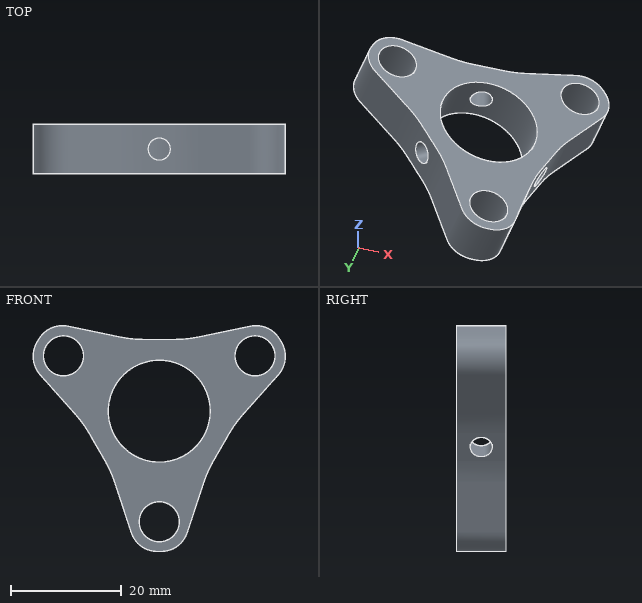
import cadquery as cq
import math

thickness = 9.0
arm_count = 3
arm_pitch = 360.0 / arm_count
first_arm_angle = 30.0

arm_reach = 25.4
arm_end_half_width = 3.95
arm_end_radius = 5.0
side_flat_distance = 13.0
side_flat_half_length = 5.0
side_blend_radius = 20.0

bore_diameter = 18.4
arm_hole_diameter = 7.2
arm_hole_distance = 20.0
radial_hole_diameter = 4.0


def turned(radial, sideways, angle):
    """Point given along and across a direction, turned into plate coordinates."""
    a = math.radians(angle)
    return (
        radial * math.cos(a) - sideways * math.sin(a),
        radial * math.sin(a) + sideways * math.cos(a),
    )


arm_angles = [first_arm_angle + i * arm_pitch for i in range(arm_count)]
flat_angles = [angle + arm_pitch / 2 for angle in arm_angles]


def make_plate():
    """Three-armed plate with blended side flats and rounded arm ends."""
    end_corners = []
    blend_corners = []
    outline = []
    for arm_angle, flat_angle in zip(arm_angles, flat_angles):
        arm_pair = [turned(arm_reach, s * arm_end_half_width, arm_angle) for s in (-1, 1)]
        flat_pair = [turned(side_flat_distance, s * side_flat_half_length, flat_angle) for s in (-1, 1)]
        end_corners += arm_pair
        blend_corners += flat_pair
        outline += arm_pair + flat_pair

    plate = cq.Workplane("XZ").polyline(outline).close().extrude(thickness / 2, both=True)
    plate = round_corners(plate, blend_corners, side_blend_radius)
    return round_corners(plate, end_corners, arm_end_radius)


def round_corners(plate, corners, radius):
    """Fillet the edges that run along Y through the given outline corners."""
    edges = []
    for x, z in corners:
        edges += plate.edges(cq.NearestToPointSelector((x, 0, z))).vals()
    return plate.newObject(edges).fillet(radius)


def cut_bore(plate):
    """Central bore through the thickness."""
    cutter = cq.Workplane("XZ").circle(bore_diameter / 2).extrude(thickness / 2, both=True)
    return plate.cut(cutter)


def cut_arm_holes(plate):
    """One through hole near the end of each arm."""
    centres = [turned(arm_hole_distance, 0, angle) for angle in arm_angles]
    cutter = (
        cq.Workplane("XZ")
        .pushPoints(centres)
        .circle(arm_hole_diameter / 2)
        .extrude(thickness / 2, both=True)
    )
    return plate.cut(cutter)


def cut_radial_holes(plate):
    """One hole at mid thickness from the middle of each side flat into the bore."""
    for angle in flat_angles:
        x, z = turned(1, 0, angle)
        cutter = cq.Solid.makeCylinder(
            radial_hole_diameter / 2, side_flat_distance, cq.Vector(0, 0, 0), cq.Vector(x, 0, z)
        )
        plate = plate.cut(cq.Workplane(obj=cutter))
    return plate


result = make_plate()
result = cut_bore(result)
result = cut_arm_holes(result)
result = cut_radial_holes(result)